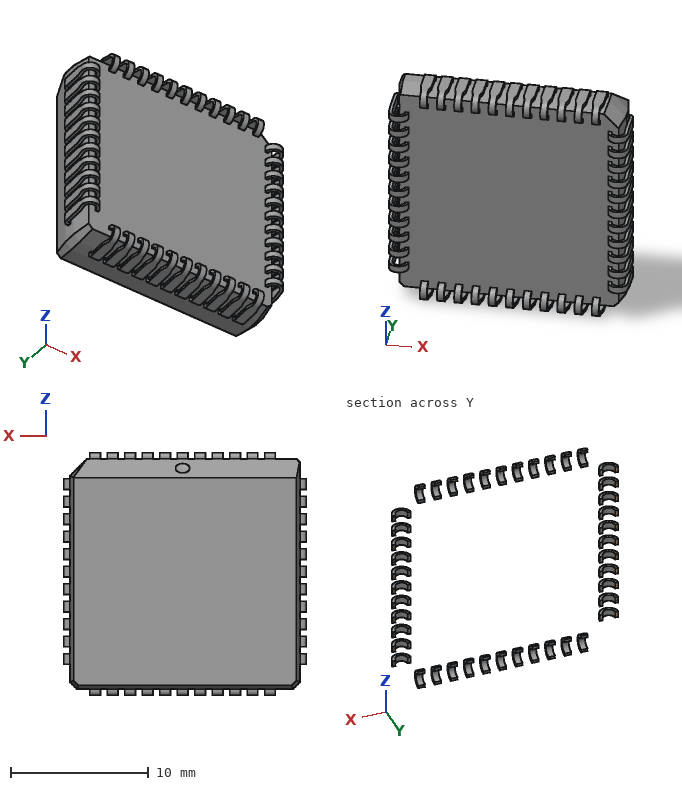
import cadquery as cq
import math

overall_width = 17.65
overall_depth = 4.96

body_half = 8.37
band_depth = 1.06
taper_depth = 1.5
draft_angle = 10.0
index_corner = 1.24
lower_corner = 0.51
small_corner = 0.25
bevel_height = 1.36

body_back = overall_depth / 2
band_back = body_back - taper_depth
band_front = band_back - band_depth

leads_per_side = 11
lead_pitch = 1.27
lead_offset = 0.18
lead_thickness = 0.25
root_thickness = 0.3
shoulder_width = 0.8
tip_width = 0.51
shoulder_taper = 0.51
hook_radius = 0.72
bend_radius = 0.32
lead_drop = 1.87
lead_embed = 0.18

lead_outer = overall_width / 2
lead_inner = lead_outer - lead_thickness
lead_root = body_half - lead_embed
lead_top = body_back - lead_drop
hook_center_r = lead_outer - hook_radius
lead_bottom = -overall_depth / 2
hook_center_y = lead_bottom + hook_radius
hook_inner_radius = hook_radius - lead_thickness

dimple_radius = 0.51
dimple_depth = 0.1


def xz_plane(y):
    """Plane at depth y, with local x along +X, local y along +Z and normal along -Y."""
    return cq.Workplane("XZ", origin=(0, y, 0))


def body_outline(y):
    """Square with four clipped corners, each with its own leg length."""
    h = body_half
    return xz_plane(y).polyline([
        (-h + lower_corner, -h),
        (h - lower_corner, -h),
        (h, -h + lower_corner),
        (h, h - index_corner),
        (h - index_corner, h),
        (-h + small_corner, h),
        (-h, h - small_corner),
        (-h, -h + lower_corner),
    ]).close()


def make_body():
    """Straight band drafted inward to both faces, with one back edge cut by the large bevel."""
    band = body_outline(band_back).extrude(band_depth)
    front = body_outline(band_front).extrude(taper_depth, taper=draft_angle)
    back = body_outline(band_back).extrude(-taper_depth, taper=draft_angle)
    bevel = (
        cq.Workplane("YZ")
        .polyline([
            (band_back, body_half),
            (body_back, body_half - bevel_height),
            (body_back, body_half),
        ])
        .close()
        .extrude(body_half, both=True)
    )
    return band.union(front).union(back.cut(bevel))


def make_dimple():
    """Ball whose cap sinks into the bevel, centred on its slope and on the lead row."""
    ball_radius = (dimple_radius**2 + dimple_depth**2) / (2 * dimple_depth)
    ball_height = ball_radius - dimple_depth
    bevel_length = math.hypot(bevel_height, taper_depth)
    center = (
        lead_offset,
        (band_back + body_back) / 2 + ball_height * bevel_height / bevel_length,
        body_half - bevel_height / 2 + ball_height * taper_depth / bevel_length,
    )
    return cq.Workplane("XY", origin=center).sphere(ball_radius)


def make_lead():
    """One lead on the +X side, centred on Z = 0."""
    profile = (
        cq.Workplane("XY", origin=(0, 0, -shoulder_width / 2))
        .moveTo(lead_root, lead_top)
        .lineTo(lead_outer - bend_radius, lead_top)
        .radiusArc((lead_outer, lead_top - bend_radius), bend_radius)
        .lineTo(lead_outer, hook_center_y)
        .threePointArc(
            (hook_center_r, hook_center_y - hook_radius),
            (hook_center_r - hook_radius, hook_center_y),
        )
        .lineTo(hook_center_r - hook_inner_radius, hook_center_y)
        .threePointArc(
            (hook_center_r, hook_center_y - hook_inner_radius),
            (lead_inner, hook_center_y),
        )
        .lineTo(lead_inner, lead_top - root_thickness)
        .lineTo(lead_root, lead_top - root_thickness)
        .close()
        .extrude(shoulder_width)
    )
    shoulder_end = hook_center_y + shoulder_taper
    silhouette = (
        cq.Workplane("YZ")
        .polyline([
            (lead_top, -shoulder_width / 2),
            (shoulder_end, -shoulder_width / 2),
            (hook_center_y, -tip_width / 2),
            (lead_bottom, -tip_width / 2),
            (lead_bottom, tip_width / 2),
            (hook_center_y, tip_width / 2),
            (shoulder_end, shoulder_width / 2),
            (lead_top, shoulder_width / 2),
        ])
        .close()
        .extrude(lead_outer)
    )
    return profile.intersect(silhouette)


def make_leads():
    """The four rows of leads, one per side of the body."""
    lead = make_lead()
    first = -lead_pitch * (leads_per_side - 1) / 2 + lead_offset
    leads = []
    for turn in (0, 90, 180, 270):
        side = lead.rotate((0, 0, 0), (0, 1, 0), turn)
        on_x_side = turn in (0, 180)
        for i in range(leads_per_side):
            along = first + i * lead_pitch
            shift = (0, 0, along) if on_x_side else (along, 0, 0)
            leads.append(side.translate(shift).val())
    return leads


body = make_body().cut(make_dimple())
result = cq.Workplane(body.val().fuse(*make_leads()))